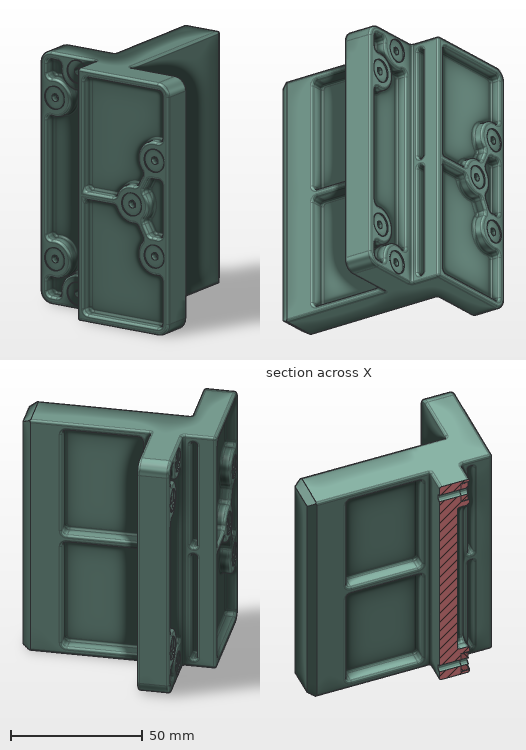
import cadquery as cq
import math

height = 100.0
half_height = height / 2
width = 68.0
half_width = width / 2
depth = 75.5
blade_thickness = 16.0
half_blade = blade_thickness / 2

right_flange_thickness = 12.5
left_flange_front = 13.0
left_flange_thickness = 12.5
left_flange_back = left_flange_front + left_flange_thickness
flange_corner_radius = 5.0
edge_radius = 1.0
rear_corner_radius = 0.5

taper_length = 3.3
taper_angle = 30.0

rim = 3.0
rib_thickness = 3.0
half_rib = rib_thickness / 2
pocket_top = half_height - rim
pocket_z_range = (-pocket_top, pocket_top)
pocket_corner_radius = 2.0
right_pocket_depth = 4.5
left_pocket_depth = 5.0
blade_pocket_depth = 6.0
blade_pocket_back = 60.0
slot_corner_radius = 1.2

cut_overrun = 2.0
selection_margin = 0.5

boss_radius = 7.5
bushing_diameter = 9.0
bushing_thickness = 3.0
bushing_recess = 0.5
seat_depth = bushing_thickness + bushing_recess
seat_diameter = 9.1
bore_diameter = 3.0
outer_seat_x = 27.4
inner_seat_x = 17.0
right_seat_z = 19.0
left_outer_seat_z = 32.0
left_inner_seat_z = 44.0
right_seats = [(inner_seat_x, 0.0)] + [(outer_seat_x, side * right_seat_z) for side in (1, -1)]
left_outer_seats = [(-outer_seat_x, side * left_outer_seat_z) for side in (1, -1)]
left_inner_seats = [(-inner_seat_x, side * left_inner_seat_z) for side in (1, -1)]
seat_groups = [(right_seats, 0.0), (left_outer_seats + left_inner_seats, left_flange_front)]


def block(x_range, y_range, z_range):
    """Rectangular block between the given limits."""
    spans = (x_range, y_range, z_range)
    sizes = [high - low for low, high in spans]
    return cq.Workplane("XY").box(*sizes, centered=False).translate(tuple(low for low, high in spans))


def cylinders(points, diameter, front, length):
    """Cylinders at (x, z) points that run in +Y from the plane y = front."""
    plane = cq.Workplane("XZ", origin=(0, front, 0))
    return plane.pushPoints(points).circle(diameter / 2).extrude(-length)


def edges_within(body, x_range, y_range, z_range):
    """Edges of the body that lie wholly inside a box, enlarged by the selection margin."""
    low = [span[0] - selection_margin for span in (x_range, y_range, z_range)]
    high = [span[1] + selection_margin for span in (x_range, y_range, z_range)]
    return body.edges(cq.selectors.BoxSelector(low, high, boundingbox=True))


def flange(x_range, y_range, end_selector):
    """Flange with its two outer corners rounded."""
    plate = block(x_range, y_range, (-half_height, half_height))
    return plate.faces(end_selector).edges("|Y").fillet(flange_corner_radius)


def bracket_blank():
    """Blade and flanges with all edges rounded and the free end of the blade tapered."""
    blade = block((-half_blade, half_blade), (0, depth + cut_overrun), (-half_height, half_height))
    right = flange((0, half_width), (0, right_flange_thickness), ">X")
    left = flange((-half_width, 0), (left_flange_front, left_flange_back), "<X")
    blank = blade.union(right).union(left)
    for x, y, radius in (
        (half_blade, right_flange_thickness, edge_radius),
        (-half_blade, left_flange_front, edge_radius),
        (-half_blade, left_flange_back, rear_corner_radius),
    ):
        corner = edges_within(blank, (x, x), (y, y), (-half_height, half_height))
        blank = corner.fillet(radius)
    outline = blank.edges("(|X or (<Y and |Z)) and (not >Y)")
    blank = outline.fillet(edge_radius)
    return blank.cut(taper_waste())


def taper_waste():
    """Material around the free end of the blade that its taper removes."""
    lead = blade_thickness
    spread = 2 * lead * math.tan(math.radians(taper_angle))
    plane = cq.Workplane("XZ", origin=(0, depth - taper_length - lead, 0))
    tip = plane.rect(blade_thickness + spread, height + spread)
    tip = tip.extrude(-(lead + taper_length), taper=taper_angle)
    end = (depth - taper_length - edge_radius, depth + 2 * cut_overrun)
    return block((-blade_thickness, blade_thickness), end, (-height, height)).cut(tip)


def pocket_prism(x_range, z_range, front, pocket_depth, seats, ribs=()):
    """Square-edged cutter for a front pocket that leaves ribs, and bosses at the seats, standing."""
    cell = block(x_range, (front - cut_overrun, front + pocket_depth), z_range)
    cutter = cell.cut(cylinders(seats, 2 * boss_radius, front - cut_overrun, height))
    for rib in ribs:
        cutter = cutter.cut(rib)
    return cutter


def rib_between(start, end):
    """Straight rib, a bar in Y, that joins two (x, z) points."""
    run = end[0] - start[0]
    rise = end[1] - start[1]
    middle = ((start[0] + end[0]) / 2, 0, (start[1] + end[1]) / 2)
    bar = cq.Workplane("XY").box(math.hypot(run, rise), 2 * height, rib_thickness)
    angle = math.degrees(math.atan2(rise, run))
    return bar.rotate((0, 0, 0), (0, 1, 0), -angle).translate(middle)


def side_pocket(y_range, z_range, corner_radius):
    """Cutter for a plain pocket in the left side of the blade."""
    cutter = block((-half_blade - cut_overrun, -half_blade + blade_pocket_depth), y_range, z_range)
    return cutter.edges("|X").fillet(corner_radius).faces(">X").edges().fillet(edge_radius)


def cut_pocket(body, cutter, x_range, y_range, z_range):
    """Cut a pocket and round its rim, given the limits of its opening."""
    return edges_within(body.cut(cutter), x_range, y_range, z_range).fillet(edge_radius)


def cut_right_flange_pocket(body):
    """Pocket in the right flange, with a rib from the blade and two ribs between the bosses."""
    x_range = (-half_blade + rim, half_width - rim)
    centre_seat, *outer_seats = right_seats
    ribs = [rib_between((-half_blade, 0), centre_seat)]
    ribs += [rib_between(centre_seat, seat) for seat in outer_seats]
    cutter = pocket_prism(x_range, pocket_z_range, 0, right_pocket_depth, right_seats, ribs)
    root = (-half_blade + rim, -half_blade + rim)
    root_z = (-half_rib, half_rib)
    cutter_y = (-cut_overrun, right_pocket_depth)
    square_edges = edges_within(cutter, root, cutter_y, root_z).vals()
    walls = cutter.edges("|Y")
    rounded_edges = [edge for edge in walls.vals() if edge not in square_edges]
    cutter = walls.newObject(rounded_edges).fillet(pocket_corner_radius)
    body = cut_pocket(body, cutter, x_range, (0, 0), pocket_z_range)
    root_walls = edges_within(body, root, (edge_radius, right_pocket_depth), root_z).edges("|Y")
    body = root_walls.fillet(pocket_corner_radius)
    floor_y = (right_pocket_depth, right_pocket_depth)
    return edges_within(body, x_range, floor_y, pocket_z_range).fillet(edge_radius)


def cut_left_flange_pocket(body):
    """Pocket in the left flange, where the floor rounding of neighbouring bosses runs together."""
    x_range = (-half_width + rim, -half_blade - rim)
    cutters = []
    for seats in (left_outer_seats, left_inner_seats):
        prism = pocket_prism(x_range, pocket_z_range, left_flange_front, left_pocket_depth, seats)
        walls_rounded = prism.edges("|Y").fillet(pocket_corner_radius)
        cutters.append(walls_rounded.faces(">Y").edges().fillet(edge_radius))
    opening_y = (left_flange_front, left_flange_front)
    return cut_pocket(body, cutters[0].intersect(cutters[1]), x_range, opening_y, pocket_z_range)


def cut_blade_pockets(body):
    """Pockets in the left side of the blade, behind and in front of the left flange."""
    rear_span = (left_flange_back + rim, blade_pocket_back)
    slot_span = (right_pocket_depth + rim, left_flange_front - rim)
    for y_range, radius in ((rear_span, pocket_corner_radius), (slot_span, slot_corner_radius)):
        for z_range in ((half_rib, pocket_top), (-pocket_top, -half_rib)):
            cutter = side_pocket(y_range, z_range, radius)
            body = cut_pocket(body, cutter, (-half_blade, -half_blade), y_range, z_range)
    return body


def build_bracket():
    """Bracket with its pockets, bushing seats and screw holes."""
    body = bracket_blank()
    body = cut_right_flange_pocket(body)
    body = cut_left_flange_pocket(body)
    body = cut_blade_pockets(body)
    for seats, front in seat_groups:
        body = body.cut(cylinders(seats, seat_diameter, front, seat_depth))
        body = body.cut(cylinders(seats, bore_diameter, front, left_flange_back))
    return body


def build_bushing(seat, flange_front):
    """Ring that rests on the floor of its seat, slightly below the face of the flange."""
    front = flange_front + bushing_recess
    ring = cylinders([seat], bushing_diameter, front, bushing_thickness)
    return ring.cut(cylinders([seat], bore_diameter, front, bushing_thickness))


bracket = build_bracket()
bushings = [build_bushing(seat, front) for seats, front in seat_groups for seat in seats]

result = cq.Compound.makeCompound([bracket.val(), *[bushing.val() for bushing in bushings]])